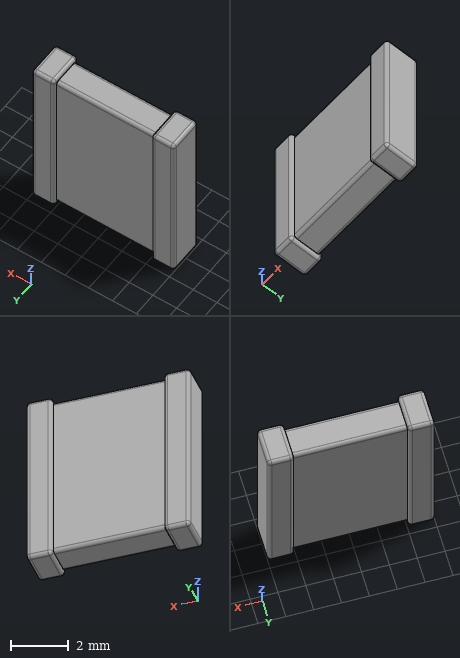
import cadquery as cq

LENGTH = 6.0
THICKNESS = 1.45
HEIGHT = 6.8

TERMINAL_WIDTH = 0.95
EDGE_RADIUS = 0.14
CORE_INSET = 0.14

CORE_LENGTH = LENGTH - 2 * TERMINAL_WIDTH
CORE_THICKNESS = THICKNESS - 2 * CORE_INSET
CORE_HEIGHT = HEIGHT - 2 * CORE_INSET
TERMINAL_OFFSET = (LENGTH - TERMINAL_WIDTH) / 2


def make_core():
    """Flat core between the terminals, rounded along its four X edges."""
    block = cq.Workplane("XY").box(CORE_LENGTH, CORE_THICKNESS, CORE_HEIGHT)
    return block.edges("|X").fillet(EDGE_RADIUS)


def make_terminal(center_x):
    """Terminal block with every edge rounded, butted against one end of the core."""
    block = cq.Workplane("XY").box(TERMINAL_WIDTH, THICKNESS, HEIGHT)
    return block.edges().fillet(EDGE_RADIUS).translate((center_x, 0, 0))


core = make_core()
terminals = [make_terminal(side * TERMINAL_OFFSET) for side in (-1, 1)]

result = cq.Compound.makeCompound([core.val(), *[terminal.val() for terminal in terminals]])